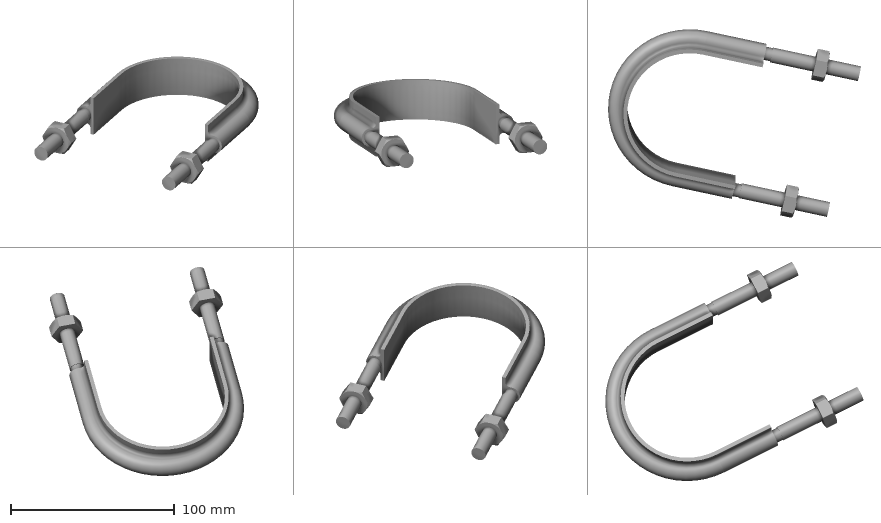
import cadquery as cq
import math

rod_offset = 44.0
thread_offset = 43.9
overall_length = 146.2
sleeve_end = 59.2

band_inner_radius = 38.2
band_thickness = 2.3
band_width = 25.0
bead_radius = 5.8
bead_fillet = 2.3

rod_diameter = 8.2
rod_hole_diameter = 8.3
thread_diameter = 9.2
thread_length = 55.0

nut_corner_width = 19.9
nut_bore_diameter = 9.8
nut_height = 7.6
nut_bottom = 20.3
nut_chamfer_angle = 30.0

half_overall_length = overall_length / 2
end_y = -half_overall_length
bend_y = half_overall_length - rod_offset - bead_radius
sleeve_end_y = end_y + sleeve_end
thread_top_y = end_y + thread_length
nut_bottom_y = end_y + nut_bottom
sides = (-1, 1)


def bent_bar(make_section, start_y):
    """Carry a right-leg XZ section up one leg, round the bend and down the other leg."""
    leg = make_section().extrude(bend_y - start_y)
    bend = make_section().revolve(180, (0, 0, 0), (0, 1, 0))
    return bend.union(leg).union(leg.mirror("YZ")).translate((0, bend_y, 0))


def sleeve_section():
    """Band and bead outline, with fillets tangent to the band face and the bead."""
    half_width = band_width / 2
    band_outer = band_inner_radius + band_thickness
    fillet_x = band_outer + bead_fillet
    centre_distance = bead_radius + bead_fillet
    fillet_z = math.sqrt(centre_distance**2 - (rod_offset - fillet_x) ** 2)
    touch_x = rod_offset + (fillet_x - rod_offset) * bead_radius / centre_distance
    touch_z = fillet_z * bead_radius / centre_distance
    touch_angle = math.atan2(touch_z - fillet_z, touch_x - fillet_x) % (2 * math.pi)
    middle_angle = (math.pi + touch_angle) / 2
    middle_x = fillet_x + bead_fillet * math.cos(middle_angle)
    middle_z = fillet_z + bead_fillet * math.sin(middle_angle)
    return (
        cq.Workplane("XZ")
        .moveTo(band_inner_radius, -half_width)
        .lineTo(band_outer, -half_width)
        .lineTo(band_outer, -fillet_z)
        .threePointArc((middle_x, -middle_z), (touch_x, -touch_z))
        .threePointArc((rod_offset + bead_radius, 0), (touch_x, touch_z))
        .threePointArc((middle_x, middle_z), (band_outer, fillet_z))
        .lineTo(band_outer, half_width)
        .lineTo(band_inner_radius, half_width)
        .close()
    )


def rod_section():
    return cq.Workplane("XZ").moveTo(rod_offset, 0).circle(rod_diameter / 2)


def rod_hole_section():
    return cq.Workplane("XZ").moveTo(rod_offset, 0).circle(rod_hole_diameter / 2)


def make_sleeve():
    rod_hole = bent_bar(rod_hole_section, sleeve_end_y)
    return bent_bar(sleeve_section, sleeve_end_y).cut(rod_hole)


def make_rod():
    return bent_bar(rod_section, thread_top_y)


def make_threaded_end(side):
    return (
        cq.Workplane("XZ", origin=(side * thread_offset, end_y, 0))
        .circle(thread_diameter / 2)
        .extrude(-thread_length)
    )


def make_nut(side):
    """Hexagonal nut with corners on X, its lower corners cut back by a cone."""
    flat_radius = nut_corner_width / 2 * math.cos(math.pi / 6)
    cone_rise = nut_height / math.tan(math.radians(nut_chamfer_angle))
    body = cq.Workplane("XZ").polygon(6, nut_corner_width).extrude(-nut_height)
    cone = (
        cq.Workplane("XY")
        .lineTo(flat_radius, 0)
        .lineTo(flat_radius + cone_rise, nut_height)
        .lineTo(0, nut_height)
        .close()
        .revolve(360, (0, 0, 0), (0, 1, 0))
    )
    bore = cq.Workplane("XZ").circle(nut_bore_diameter / 2).extrude(-nut_height)
    return body.intersect(cone).cut(bore).translate((side * thread_offset, nut_bottom_y, 0))


sleeve = make_sleeve()
rod = make_rod()
threaded_ends = [make_threaded_end(side) for side in sides]
nuts = [make_nut(side) for side in sides]

result = cq.Compound.makeCompound(
    [
        sleeve.val(),
        rod.val(),
        *[threaded_end.val() for threaded_end in threaded_ends],
        *[nut.val() for nut in nuts],
    ]
)